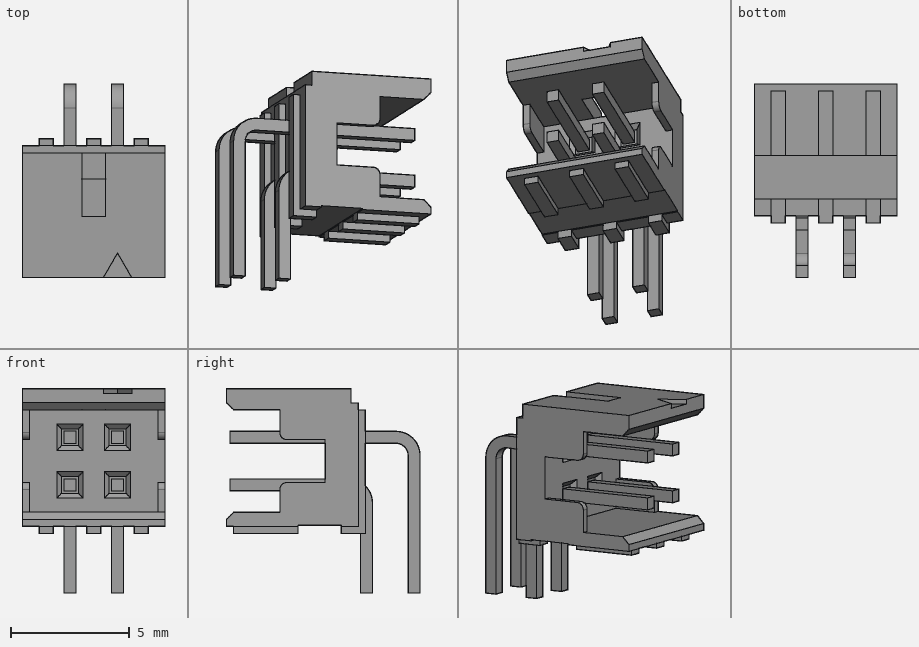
import cadquery as cq
import math


width = 6.0
top = 6.1
underside = 0.3
back = 5.55
top_wall = 0.9
bottom_wall = 0.6
side_wall = 0.3
side_wall_front = 2.25
socket_floor = 4.15
lead_in = 0.31
back_step_depth = 0.3
back_step_height = 0.6
socket_top = top - top_wall
socket_bottom = underside + bottom_wall
socket_centre = (socket_top + socket_bottom) / 2

window_height = 1.8
window_corner_radius = 0.3

key_width = 1.0
key_front = 2.57
key_back = back - back_step_depth
mark_x = 1.0
mark_width = 1.2
mark_length = mark_width * math.cos(math.pi / 6)
mark_depth = 0.2

foot_width = 0.6
foot_pitch = 2.0
rib_depth = 0.3
rib_back = back + rib_depth
rear_foot_front = 4.83
front_foot_front = 0.3
front_foot_back = 3.02
relief_depth = 0.05

pitch = 2.0
pin_size = 0.51
pin_tip = 0.15
pin_bottom = -2.5
bend_radius = 1.02
upper_leg_back = 8.15
pin_offsets = (-pitch / 2, pitch / 2)

funnel_mouth = 1.11
funnel_depth = 0.2
funnel_floor = 0.71


def box(x_range, y_range, z_range):
    """Axis-aligned block between the given limits."""
    size = [high - low for low, high in (x_range, y_range, z_range)]
    corner = (x_range[0], y_range[0], z_range[0])
    return cq.Workplane("XY").box(*size, centered=False).translate(corner)


def centred(middle, size):
    """Limits of a span of the given size about its middle."""
    return (middle - size / 2, middle + size / 2)


def side_profile(points, x_range):
    """Closed (y, z) outline extruded along X."""
    outline = cq.Workplane("YZ").polyline(points).close()
    return outline.extrude(x_range[1] - x_range[0]).translate((x_range[0], 0, 0))


def make_shell():
    """Housing outline with a stepped back, hollowed from the front down to the socket floor."""
    full_width = centred(0, width)
    shell = box(full_width, (0, back), (underside, top))
    shell = shell.cut(box(full_width, (key_back, back), (top - back_step_height, top)))
    inside = centred(0, width - 2 * side_wall)
    shell = shell.cut(box(inside, (0, socket_floor), (socket_bottom, socket_top)))
    mouth = [
        (0, socket_bottom - lead_in),
        (lead_in, socket_bottom),
        (side_wall_front, socket_bottom),
        (side_wall_front, socket_top),
        (lead_in, socket_top),
        (0, socket_top + lead_in),
    ]
    return shell.cut(side_profile(mouth, full_width))


def cut_side_windows(shell):
    """Window through both side walls, with rounded corners at its open front."""
    window = box(centred(0, width), (side_wall_front, socket_floor), centred(socket_centre, window_height))
    shell = shell.cut(window)
    for side in (-1, 1):
        for edge in (-1, 1):
            corner = (
                side * (width - side_wall) / 2,
                side_wall_front,
                socket_centre + edge * window_height / 2,
            )
            shell = shell.edges(cq.selectors.NearestToPointSelector(corner)).fillet(window_corner_radius)
    return shell


def make_key_slot():
    """Slot through the top wall, running back over the socket floor."""
    return box(centred(0, key_width), (key_front, key_back), (socket_top, top))


def make_pin_one_mark():
    """Triangular recess in the top face, with its base on the front edge."""
    corners = [(mark_x - mark_width / 2, 0), (mark_x + mark_width / 2, 0), (mark_x, mark_length)]
    outline = cq.Workplane("XY").workplane(offset=top - mark_depth).polyline(corners).close()
    return outline.extrude(mark_depth)


def make_underside_relief():
    """Shallow full-width channel across the underside."""
    return box(
        centred(0, width),
        (front_foot_back, rear_foot_front),
        (underside, underside + relief_depth),
    )


def make_feet(x):
    """Front foot, rear foot and the back rib that rises from the rear foot."""
    span = centred(x, foot_width)
    front_foot = box(span, (front_foot_front, front_foot_back), (0, underside))
    rear_foot = box(span, (rear_foot_front, rib_back), (0, underside))
    rib = box(span, (back, rib_back), (0, socket_top))
    return [front_foot, rear_foot, rib]


def make_funnel(x, z):
    """Tapered square pocket in the socket floor."""
    mouth = cq.Workplane("XZ", origin=(x, socket_floor, z)).rect(funnel_mouth, funnel_mouth)
    return mouth.workplane(offset=-funnel_depth).rect(funnel_floor, funnel_floor).loft(ruled=True)


def make_pin(x, z, leg_back):
    """Square pin running back from its tip and bent down to the board."""
    path_radius = bend_radius - pin_size / 2
    leg = leg_back - pin_size / 2
    path = (
        cq.Workplane("YZ", origin=(x, 0, 0))
        .moveTo(pin_tip, z)
        .lineTo(leg - path_radius, z)
        .tangentArcPoint((leg, z - path_radius), relative=False)
        .lineTo(leg, pin_bottom)
    )
    return cq.Workplane("XZ", origin=(x, pin_tip, z)).rect(pin_size, pin_size).sweep(path)


housing = cut_side_windows(make_shell())
housing = housing.cut(make_key_slot())
housing = housing.cut(make_pin_one_mark())
housing = housing.cut(make_underside_relief())
for foot_x in (-foot_pitch, 0, foot_pitch):
    for block in make_feet(foot_x):
        housing = housing.union(block)

for column in pin_offsets:
    for row in pin_offsets:
        pin_z = socket_centre + row
        leg_back = upper_leg_back - (pitch / 2 - row)
        housing = housing.cut(make_funnel(column, pin_z))
        housing = housing.union(make_pin(column, pin_z, leg_back))

result = housing